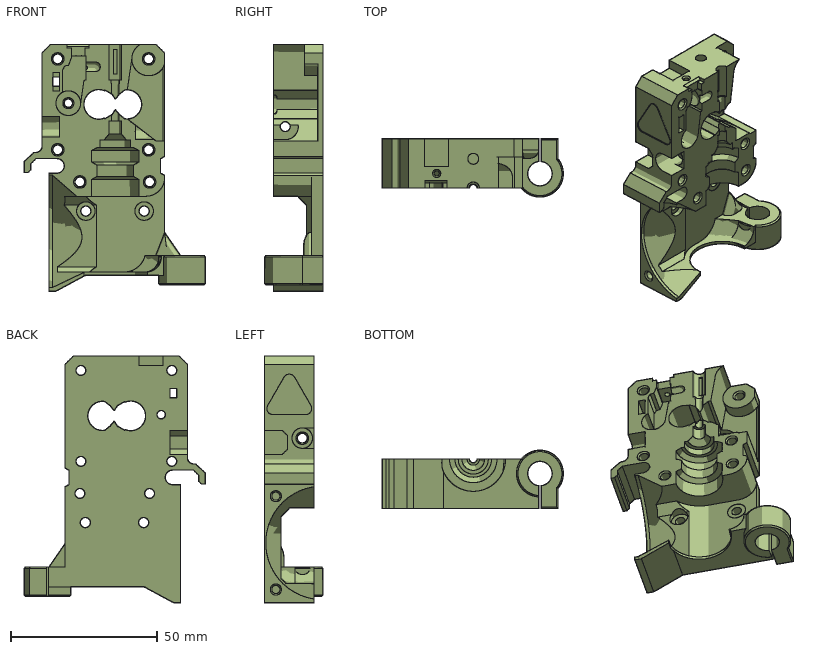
import cadquery as cq
import math


DEPTH = 17.0
HEIGHT = 84.5
LEFT = -25.1
RIGHT = 16.9
TOP_CHAMFER = 2.95
NOTCH_TOP = 46.1
NOTCH_BOTTOM = 39.7
NOTCH_DEPTH = 1.35
NOTCH_CHAMFER = 0.8
FLOOR_BOTTOM = 5.5
FLOOR_TOP = 6.6
OVERCUT = 0.85
CHAMFER = 0.5
LOFT_SEAM = 180

HOOK_LEFT = -31.2
HOOK_THICKNESS = 2.3
HOOK_BEVEL = 1.8
HOOK_TIP_Z = 40.65
HOOK_TIP_CHAMFER = 0.9
HOOK_TOP = 47.6
HOOK_FILLET = 2.0
HOOK_SLOT_R = 2.45
HOOK_SLOT_X = -19.9
HOOK_SLOT_Z = 42.9

DUCT_LEFT = -22.7
DUCT_FOOT_RIGHT = -20.4
DUCT_SLOPE_END = -10.1
MOUTH_DEPTH = 1.2
FAN_Y = -2.9
FAN_Z = 20.5
FAN_R = 19.4
FAN_HOLE_OFFSET = 16.0
FAN_HOLE_DEPTH = 6.8
THROAT_X = -10.7
THROAT_Y = -1.0
THROAT_Z = 18.4
THROAT_R = 12.0

LEDGE_Z = 32.5
PAD_Y = 11.3
WALL_Y = 13.0
CEILING_CHAMFER = 3.0
FLOOR_CHAMFER = 1.8
NOZZLE_OPENING_R = 11.1

MOTOR_X = -4.1
MOTOR_Z = 64.0
MOTOR_PITCH = 31.1
SCREW_D = 3.3
SMALL_D = 2.8

IDLER_FLOOR = 15.0
IDLER_BOSS_Y = 10.65
IDLER_BOSS_R = 5.75
IDLER_LEDGE_Z = 51.4

BORE_Y = 4.05
BORE_Z = 56.4
LEFT_SEAT_D = 7.0
LEFT_SEAT_X = -19.1
LEFT_SEAT_END = -15.2
RIGHT_SEAT_D = 8.95
RIGHT_SEAT_X = 6.85

CLAMP_X = 22.8
CLAMP_Y = 5.0
CLAMP_R = 8.0
CLAMP_BORE_D = 8.3
CLAMP_BOTTOM = 2.2
CLAMP_TOP = 12.3
CLAMP_RIGHT = 29.1
CLAMP_SLIT = 0.8


def box(x0, x1, y0, y1, z0, z1):
    """Box between two opposite corners."""
    return cq.Workplane("XY").box(x1 - x0, y1 - y0, z1 - z0, centered=False).translate((x0, y0, z0))


def cylinder(diameter, length, start, direction):
    """Cylinder from a start point along a direction."""
    solid = cq.Solid.makeCylinder(diameter / 2, length, cq.Vector(*start), cq.Vector(*direction))
    return cq.Workplane(obj=solid)


def chamfered_hole(diameter, length, start, direction, chamfer=CHAMFER):
    """Hole cutter with a 45 degree countersink at its start."""
    wide = diameter / 2 + chamfer
    sink = cq.Solid.makeCone(wide, diameter / 2, chamfer, cq.Vector(*start), cq.Vector(*direction))
    return cylinder(diameter, length, start, direction).union(cq.Workplane(obj=sink))


def prism(points, y0, y1):
    """Polygon given in X and Z, extruded from y0 back to y1."""
    return cq.Workplane("XZ", origin=(0, y0, 0)).polyline(points).close().extrude(y0 - y1)


def circle_loft(direction, first, second):
    """Ruled loft between two circles across a direction, each given as (centre, radius)."""
    axis = cq.Vector(*direction)
    wires = []
    for centre, radius in (first, second):
        middle = cq.Vector(*centre)
        wires.append(cq.Wire.makeCircle(radius, middle, axis).rotate(middle, middle + axis, LOFT_SEAM))
    return cq.Workplane(obj=cq.Solid.makeLoft(wires, True))


def body():
    fillet_z = HOOK_TOP + HOOK_FILLET
    fillet_mid = HOOK_FILLET * (1 - math.sqrt(0.5))
    hook_inner = HOOK_LEFT + HOOK_THICKNESS
    slot_top = HOOK_SLOT_Z + HOOK_SLOT_R
    slot_bottom = HOOK_SLOT_Z - HOOK_SLOT_R
    return (
        cq.Workplane("XZ")
        .moveTo(LEFT, fillet_z)
        .lineTo(LEFT, HEIGHT - TOP_CHAMFER)
        .lineTo(LEFT + TOP_CHAMFER, HEIGHT)
        .lineTo(RIGHT - TOP_CHAMFER, HEIGHT)
        .lineTo(RIGHT, HEIGHT - TOP_CHAMFER)
        .lineTo(RIGHT, NOTCH_TOP)
        .lineTo(RIGHT - NOTCH_DEPTH, NOTCH_TOP - NOTCH_CHAMFER)
        .lineTo(RIGHT - NOTCH_DEPTH, NOTCH_BOTTOM + NOTCH_CHAMFER)
        .lineTo(RIGHT, NOTCH_BOTTOM)
        .lineTo(RIGHT, FLOOR_BOTTOM)
        .lineTo(DUCT_SLOPE_END, FLOOR_BOTTOM)
        .lineTo(DUCT_FOOT_RIGHT, 0)
        .lineTo(DUCT_LEFT, 0)
        .lineTo(DUCT_LEFT, slot_bottom)
        .lineTo(HOOK_SLOT_X, slot_bottom)
        .threePointArc((HOOK_SLOT_X + HOOK_SLOT_R, HOOK_SLOT_Z), (HOOK_SLOT_X, slot_top))
        .lineTo(hook_inner + HOOK_BEVEL, slot_top)
        .lineTo(hook_inner, slot_top - HOOK_BEVEL)
        .lineTo(hook_inner, HOOK_TIP_Z + HOOK_TIP_CHAMFER)
        .lineTo(hook_inner - HOOK_TIP_CHAMFER, HOOK_TIP_Z)
        .lineTo(HOOK_LEFT, HOOK_TIP_Z)
        .lineTo(HOOK_LEFT, 44.45)
        .lineTo(-27.8, HOOK_TOP)
        .lineTo(LEFT - HOOK_FILLET, HOOK_TOP)
        .threePointArc((LEFT - fillet_mid, HOOK_TOP + fillet_mid), (LEFT, fillet_z))
        .close()
        .extrude(-DEPTH)
    )


def nozzle_opening():
    """Round clearance through the floor, stopping at the inner end of the fan duct."""
    round_cut = cylinder(2 * NOZZLE_OPENING_R, FLOOR_TOP, (0, 0, 0), (0, 0, 1))
    return round_cut.intersect(box(THROAT_X, RIGHT, -DEPTH, DEPTH, 0, FLOOR_TOP))


def hot_end_space():
    """Open space between the floor and the upper block, with a concave step in its back wall."""
    left = -20.3
    tall = LEDGE_Z - FLOOR_TOP
    pad = (
        cq.Workplane("YZ", origin=(left, 0, 0))
        .polyline([
            (-OVERCUT, FLOOR_TOP),
            (PAD_Y - FLOOR_CHAMFER, FLOOR_TOP),
            (PAD_Y, FLOOR_TOP + FLOOR_CHAMFER),
            (PAD_Y, LEDGE_Z - CEILING_CHAMFER),
            (PAD_Y - CEILING_CHAMFER, LEDGE_Z),
            (-OVERCUT, LEDGE_Z),
        ])
        .close()
        .extrude(-left)
    )
    step = cylinder(2 * WALL_Y, tall, (0, 0, FLOOR_TOP), (0, 0, 1))
    right_side = box(0, RIGHT + OVERCUT, -OVERCUT, WALL_Y, FLOOR_TOP, LEDGE_Z)
    corner_r = 6.4
    corner_x = RIGHT - corner_r
    corner_z = LEDGE_Z + corner_r
    corner = box(corner_x, RIGHT, 0, WALL_Y, LEDGE_Z, corner_z)
    corner = corner.cut(cylinder(2 * corner_r, DEPTH, (corner_x, 0, corner_z), (0, 1, 0)))
    return pad.union(step).union(right_side).union(corner).union(nozzle_opening())


def fan_duct():
    mouth_x = DUCT_LEFT + MOUTH_DEPTH
    mouth = cylinder(2 * FAN_R, MOUTH_DEPTH, (DUCT_LEFT, FAN_Y, FAN_Z), (1, 0, 0))
    funnel = circle_loft(
        (0.85, 0, 0), ((mouth_x, FAN_Y, FAN_Z), FAN_R), ((THROAT_X, THROAT_Y, THROAT_Z), THROAT_R)
    )
    cutter = mouth.union(funnel)
    for dz in (-FAN_HOLE_OFFSET, FAN_HOLE_OFFSET):
        start = (DUCT_LEFT, FAN_Y + FAN_HOLE_OFFSET, FAN_Z + dz)
        cutter = cutter.union(chamfered_hole(SMALL_D, FAN_HOLE_DEPTH, start, (1, 0, 0)))
    return cutter


def filament_path():
    """Turned profile about the filament axis; half of it sinks into the front face."""
    filament_r = 1.3
    tube_r = 2.1
    neck_r = 6.25
    collar_r = 8.1
    profile = [
        (0, LEDGE_Z - OVERCUT),
        (collar_r, LEDGE_Z - OVERCUT),
        (collar_r, 38.3),
        (neck_r, 39.3),
        (neck_r, 43.2),
        (collar_r, 44.3),
        (collar_r, 48.2),
        (neck_r, 49.2),
        (5.15, 49.2),
        (5.15, 51.7),
        (3.9, 51.7),
        (tube_r, 53.8),
        (tube_r, 58.2),
        (filament_r, 58.2),
        (filament_r, 70.2),
        (1.5, 72.3),
        (tube_r, 72.3),
        (tube_r, HEIGHT),
        (0, HEIGHT),
    ]
    path = cq.Workplane("XZ").polyline(profile).close().revolve(360, (0, 0, 0), (0, 1, 0))
    window_width = 1.2
    window = box(-window_width / 2, window_width / 2, 0, 2.5, 74.4, 82.8)
    return path.union(window)


def gear_openings():
    """Two round openings for the drive gear and the idler, joined by a pinch at the filament."""
    gear = cylinder(10.05, DEPTH, (-5.7, 0, MOTOR_Z), (0, 1, 0))
    idler_d = 9.9
    idler = cylinder(idler_d, DEPTH, (4.05, 0, MOTOR_Z), (0, 1, 0)).intersect(
        box(3.1, HEIGHT, 0, DEPTH, MOTOR_Z - idler_d, MOTOR_Z + idler_d)
    )
    upper = [(-3.6, 4.9), (-1.1, 3.5), (0, 1.8), (1.35, 3.4), (3.1, 4.8)]
    lower = [(x, -z) for x, z in reversed(upper)]
    pinch = prism([(x, MOTOR_Z + z) for x, z in upper + lower], 0, DEPTH)
    return gear.union(idler).union(pinch)


def idler_recess():
    pivot_x = MOTOR_X + MOTOR_PITCH / 2
    pivot_z = MOTOR_Z + MOTOR_PITCH / 2
    outline = [
        (pivot_x, pivot_z),
        (pivot_x - IDLER_BOSS_R, pivot_z),
        (4.1, 69.1),
        (4.05, MOTOR_Z - 4.9),
        (14.0, IDLER_LEDGE_Z),
        (RIGHT, IDLER_LEDGE_Z),
        (RIGHT, pivot_z),
    ]
    swing = prism(outline, 0, IDLER_FLOOR)
    edge_width = 0.5
    edge_floor = IDLER_FLOOR + 0.25
    edge_relief = box(RIGHT - edge_width, RIGHT, 0, edge_floor, IDLER_LEDGE_Z, pivot_z)
    boss = cylinder(2 * IDLER_BOSS_R, DEPTH, (pivot_x, IDLER_BOSS_Y, pivot_z), (0, 1, 0))
    pivot = cylinder(2 * IDLER_BOSS_R, IDLER_BOSS_Y, (pivot_x, 0, pivot_z), (0, 1, 0))
    corner = box(pivot_x, RIGHT, 0, IDLER_BOSS_Y, pivot_z, HEIGHT)
    return swing.union(edge_relief).cut(boss).union(pivot).union(corner)


def tension_bore():
    bore = cylinder(SCREW_D, RIGHT - LEFT, (LEFT, BORE_Y, BORE_Z), (1, 0, 0))
    left_screw = chamfered_hole(SCREW_D, CHAMFER, (LEFT_SEAT_END, BORE_Y, BORE_Z), (1, 0, 0))
    cutter = bore.union(left_screw)
    seats = (
        (LEFT, LEFT_SEAT_X, LEFT_SEAT_END, LEFT_SEAT_D),
        (RIGHT_SEAT_X, RIGHT, RIGHT, RIGHT_SEAT_D),
    )
    for x0, x1, seat_end, diameter in seats:
        seat = cylinder(diameter, seat_end - x0, (x0, BORE_Y, BORE_Z), (1, 0, 0))
        mouth = box(x0, x1, -OVERCUT, BORE_Y, BORE_Z - diameter / 2, BORE_Z + diameter / 2)
        cutter = cutter.union(seat).union(mouth)
    return cutter


def screw_holes():
    half = MOTOR_PITCH / 2
    starts = [
        (MOTOR_X - half, 0, MOTOR_Z + half),
        (MOTOR_X - half, 0, MOTOR_Z - half),
        (MOTOR_X + half, 0, MOTOR_Z - half),
        (MOTOR_X + half, IDLER_BOSS_Y, MOTOR_Z + half),
        (-12.1, 0, 37.4),
        (11.75, 0, 37.4),
    ]
    cutter = None
    for start in starts:
        hole = chamfered_hole(SCREW_D, DEPTH, start, (0, 1, 0))
        cutter = hole if cutter is None else cutter.union(hole)
    seat_depth = 0.1
    wall_hole_d = 3.4
    wall_seat_d = 6.3
    for x in (-10.05, 9.9):
        start = (x, 0, 27.5)
        cutter = cutter.union(cylinder(wall_hole_d, DEPTH, start, (0, 1, 0)))
        cutter = cutter.union(cylinder(wall_seat_d, WALL_Y + seat_depth, start, (0, 1, 0)))
    return cutter


def sensor_pocket():
    """Stepped pocket at the upper left, ending in a round screw seat."""
    floor = 8.45
    seat_floor = 8.6
    seat = (-16.05, 64.4)
    seat_r = 4.2
    outline = [
        (-15.0, 80.5),
        (-15.0, 79.85),
        (-16.0, 77.3),
        (-17.2, 77.15),
        (-18.0, 75.8),
        (-18.0, seat[1]),
        (seat[0] + seat_r, seat[1]),
        (-10.7, 72.1),
        (-10.05, 72.3),
        (-10.05, 80.5),
    ]
    pocket = prism(outline, 0, floor)
    pocket = pocket.union(cylinder(2 * seat_r, seat_floor, (seat[0], 0, seat[1]), (0, 1, 0)))
    pocket = pocket.union(chamfered_hole(SMALL_D, DEPTH, (seat[0], seat_floor, seat[1]), (0, 1, 0)))
    nut_back = 1.9
    lead_in = 0.8
    neck = box(-15.0, -10.3, 0, nut_back, 80.3, HEIGHT)
    nut_slot = (
        cq.Workplane("YZ", origin=(-16.5, 0, 0))
        .polyline([
            (0, 83.3),
            (nut_back, 83.3),
            (nut_back, HEIGHT - lead_in),
            (nut_back + lead_in, HEIGHT),
            (0, HEIGHT),
        ])
        .close()
        .extrude(7.5)
    )
    pin_d = 3.3
    pin_end = (-6.8, 0, 76.8)
    pin = cylinder(pin_d, 3.4, pin_end, (-1, 0, 0)).union(
        cq.Workplane("XY").sphere(pin_d / 2).translate(pin_end)
    )
    scoop_r = 3.55
    scoop = cq.Workplane("XY").sphere(scoop_r).translate((-11.1, 4.7, 75.9))
    return pocket.union(neck).union(nut_slot).union(pin).union(scoop)


def tie_slot():
    """Rectangular slot that narrows in height on its way through."""
    left = -21.4
    right = -19.1
    step_y = 8.45
    entrance = box(left, right, 0, step_y, 68.6, 74.9)
    return entrance.union(box(left, right, 0, DEPTH, 70.2, 73.3))


def top_cuts():
    notch = box(-16.65, -8.45, 7.4, DEPTH, 81.2, HEIGHT)
    blind_hole = cylinder(3.7, 6.8, (0, 10.05, HEIGHT), (0, 0, -1))
    pilot = chamfered_hole(1.8, 4.2, (-12.5, 5.1, HEIGHT), (0, 0, -1))
    return notch.union(blind_hole).union(pilot)


def side_cuts():
    """Chamfered notch at the back left and the shallow rounded triangle above it."""
    front = 9.0
    bottom = 50.8
    top = 59.0
    chamfer = 1.9
    notch = (
        cq.Workplane("YZ", origin=(LEFT, 0, 0))
        .polyline([
            (DEPTH, bottom),
            (front + chamfer, bottom),
            (front, bottom + chamfer),
            (front, top - chamfer),
            (front + chamfer, top),
            (DEPTH, top),
        ])
        .close()
        .extrude(LEFT_SEAT_X - LEFT)
    )
    middle = DEPTH / 2
    half_base = 9.2
    recess_depth = 0.4
    triangle = (
        cq.Workplane("YZ", origin=(LEFT, 0, 0))
        .polyline([(middle - half_base, 64.4), (middle + half_base, 64.4), (middle, 80.4)])
        .close()
        .extrude(recess_depth)
        .edges("|X")
        .fillet(2.1)
    )
    return notch.union(triangle)


def clamp_arm():
    """Curved bracket from the back wall to the clamp, and the gusset above it."""
    bend_y = 6.5
    front = ((10.6, 0, 11.8), 5.2)
    bend = ((10.0, bend_y, 11.5), 4.9)
    wall = ((2.95, WALL_Y, 14.0), 7.4)
    bracket = (
        cq.Workplane("XY", origin=(0, 0, FLOOR_BOTTOM))
        .polyline([
            (front[0][0], 0),
            (RIGHT, 0),
            (RIGHT, DEPTH),
            (wall[0][0], DEPTH),
            (wall[0][0], WALL_Y),
            (bend[0][0], bend_y),
        ])
        .close()
        .extrude(CLAMP_TOP - FLOOR_BOTTOM)
    )
    for first, second in ((front, bend), (bend, wall)):
        bracket = bracket.cut(circle_loft((0, 0.85, 0), first, second))
    gusset_points = [(13.9, CLAMP_TOP), (RIGHT, 20.2), (22.3, CLAMP_TOP)]
    gusset = prism(gusset_points, 10.2, WALL_Y).edges("<Y").edges("not #Z").fillet(2.6)
    return bracket.cut(nozzle_opening()).union(gusset)


def clamp():
    tall = CLAMP_TOP - CLAMP_BOTTOM
    ring = cylinder(2 * CLAMP_R, tall, (CLAMP_X, CLAMP_Y, CLAMP_BOTTOM), (0, 0, 1))
    ear = box(CLAMP_X, CLAMP_RIGHT, CLAMP_Y, DEPTH, CLAMP_BOTTOM, CLAMP_TOP)
    ring = ring.union(ear).faces("<Z or >Z").edges().chamfer(CHAMFER)
    root = box(RIGHT, CLAMP_X, CLAMP_Y, DEPTH, FLOOR_BOTTOM, CLAMP_TOP)
    return ring.union(root)


def clamp_cuts():
    bore = cylinder(CLAMP_BORE_D, HEIGHT, (CLAMP_X, CLAMP_Y, 0), (0, 0, 1))
    slit_x = CLAMP_X - CLAMP_SLIT / 2
    return bore.union(box(slit_x, slit_x + CLAMP_SLIT, CLAMP_Y, DEPTH, 0, HEIGHT))


result = body()
for cutter in (hot_end_space(), fan_duct(), filament_path(), gear_openings(), idler_recess()):
    result = result.cut(cutter)
for cutter in (tension_bore(), screw_holes(), sensor_pocket(), tie_slot(), top_cuts(), side_cuts()):
    result = result.cut(cutter)
result = result.union(clamp_arm()).union(clamp()).cut(clamp_cuts())